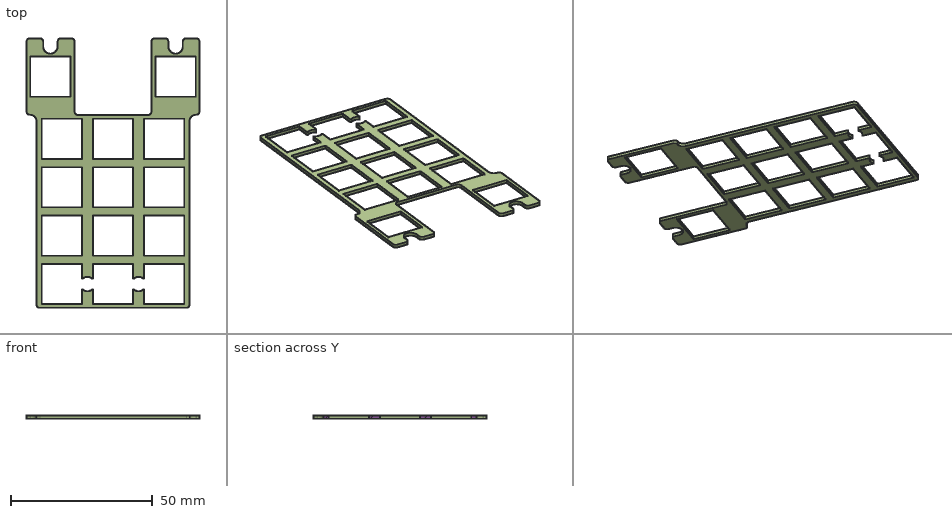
import cadquery as cq
import math

thickness = 1.2
opening = 14.05

grid_width = 54.0
grid_length = 68.0
columns = 3
rows = 4
column_pitch = 18.0
row_pitch = 17.05

outer_width = 61.0
tab_width = 17.0
tab_length = 27.0
tab_opening_shift = 0.05
notch_width = 5.0
notch_depth = 5.4

screw_hole_diameter = 5.0
bar_tip_radius = 0.25

corner_radius = 1.2
shoulder_radius = 2.2

top_y = (grid_length + tab_length) / 2
bottom_y = -top_y
shoulder_y = bottom_y + grid_length
grid_centre_y = bottom_y + grid_length / 2
tab_centre_y = shoulder_y + tab_length / 2
tab_centre_x = (outer_width - tab_width) / 2
tab_opening_x = tab_centre_x + tab_opening_shift
sides = (-1, 1)


def grid_positions(count, pitch, centre):
    """Evenly spaced positions, symmetric about the given centre."""
    return [centre + (i - (count - 1) / 2) * pitch for i in range(count)]


column_centres_x = grid_positions(columns, column_pitch, 0)
row_centres_y = grid_positions(rows, row_pitch, grid_centre_y)
bar_centres_x = grid_positions(columns - 1, column_pitch, 0)


def block(width, length, centre_x, centre_y):
    """Full-thickness rectangular block centred at the given point."""
    return (
        cq.Workplane("XY")
        .center(centre_x, centre_y)
        .rect(width, length)
        .extrude(thickness)
    )


def round_corners(body, points, radius):
    """Fillet the vertical edges that stand at the given XY points."""
    reach = 0.1
    for x, y in points:
        picker = cq.selectors.BoxSelector(
            (x - reach, y - reach, -reach),
            (x + reach, y + reach, thickness + reach),
        )
        body = body.edges("|Z").edges(picker).fillet(radius)
    return body


def make_outline():
    """Grid plate with the two tabs, with all corners of the outline rounded."""
    body = block(grid_width, grid_length, 0, grid_centre_y)
    tab_corners = []
    for side in sides:
        tab_x = side * tab_centre_x
        body = body.union(block(tab_width, tab_length, tab_x, tab_centre_y))
        for edge in sides:
            corner_x = tab_x + edge * tab_width / 2
            tab_corners += [(corner_x, top_y), (corner_x, shoulder_y)]
    grid_corners = [(side * grid_width / 2, bottom_y) for side in sides]
    shoulders = [(side * grid_width / 2, shoulder_y) for side in sides]

    body = round_corners(body, tab_corners + grid_corners, corner_radius)
    return round_corners(body, shoulders, shoulder_radius)


def notch(centre_x):
    """Slot open to the +Y end with a semicircular bottom."""
    radius = notch_width / 2
    arc_y = top_y - notch_depth + radius
    return (
        cq.Workplane("XY")
        .moveTo(centre_x - radius, top_y)
        .lineTo(centre_x - radius, arc_y)
        .threePointArc((centre_x, arc_y - radius), (centre_x + radius, arc_y))
        .lineTo(centre_x + radius, top_y)
        .close()
        .extrude(thickness)
    )


def cut_notches(body):
    """One notch in the end of each tab, with rounded mouth corners."""
    for side in sides:
        notch_x = side * tab_opening_x
        mouth = [(notch_x + edge * notch_width / 2, top_y) for edge in sides]
        body = round_corners(body.cut(notch(notch_x)), mouth, corner_radius)
    return body


def cut_openings(body):
    """Square openings of the grid and of the tabs."""
    centres = [(x, y) for x in column_centres_x for y in row_centres_y]
    centres += [(side * tab_opening_x, tab_centre_y) for side in sides]
    for x, y in centres:
        body = body.cut(block(opening, opening, x, y))
    return body


def cut_screw_holes(body):
    """Round holes that break through the lowest-row bars, with the bar tips rounded."""
    lowest_row_y = row_centres_y[0]
    radius = screw_hole_diameter / 2
    half_bar = (column_pitch - opening) / 2
    tip_offset = math.sqrt(radius**2 - half_bar**2)
    for bar_x in bar_centres_x:
        hole = (
            cq.Workplane("XY")
            .center(bar_x, lowest_row_y)
            .circle(radius)
            .extrude(thickness)
        )
        tips = [
            (bar_x + side * half_bar, lowest_row_y + end * tip_offset)
            for side in sides
            for end in sides
        ]
        body = round_corners(body.cut(hole), tips, bar_tip_radius)
    return body


outline = make_outline()
notched = cut_notches(outline)
with_openings = cut_openings(notched)
result = cut_screw_holes(with_openings)